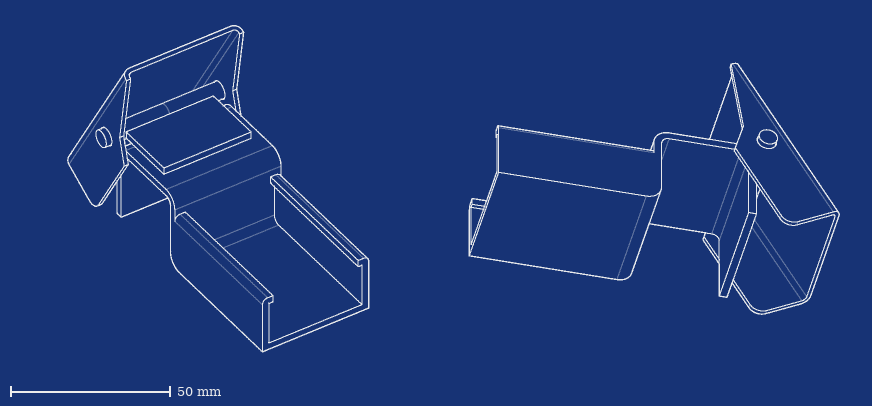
import cadquery as cq
import math


pin_diameter = 6.0
pin_length = 48.0

sheet = 2.5
bend_inside = 2.4
bend_outside = bend_inside + sheet
bracket_width = 40.0
bracket_height = 28.5
bracket_top = -sheet / 2
bracket_bottom = bracket_top - bracket_height
leg_x = 2.9
wall_x = 33.5
bracket_end = 86.2

rail_top = -8.8
lip_reach = 4.0
lip_bend = 2.0

pad_width = 32.8
pad_end = 24.3

cover_tilt = 60
cover_length = 65.0
cover_width = 44.1
cover_depth = 20.0
cover_sheet = 1.5
cover_bend = 3.0
corner_radius = 4.0
tip_depth = 3.5
waist = (40.9, 12.9)
shoulder_along = 33.7
pin_along = 32.9
pin_depth = 8.7
cover_hole_diameter = 6.3


def box(x0, x1, width, z0, z1):
    """Box between two X and two Z limits, centred across Y."""
    return cq.Workplane("XY").box(x1 - x0, width, z1 - z0).translate(((x0 + x1) / 2, 0, (z0 + z1) / 2))


def cross_cylinder(diameter, length):
    """Cylinder on the pin axis, centred across Y."""
    return cq.Workplane("XZ").circle(diameter / 2).extrude(length / 2, both=True)


def make_strip():
    """Leg, top plate, step wall and tray floor as one bent strip."""
    profile = (
        cq.Workplane("XZ")
        .moveTo(leg_x, bracket_bottom)
        .lineTo(leg_x, bracket_top - bend_outside)
        .radiusArc((leg_x + bend_outside, bracket_top), bend_outside)
        .lineTo(wall_x + sheet - bend_outside, bracket_top)
        .radiusArc((wall_x + sheet, bracket_top - bend_outside), bend_outside)
        .lineTo(wall_x + sheet, bracket_bottom + bend_outside)
        .radiusArc((wall_x + bend_outside, bracket_bottom + sheet), -bend_inside)
        .lineTo(bracket_end, bracket_bottom + sheet)
        .lineTo(bracket_end, bracket_bottom)
        .lineTo(wall_x + bend_outside, bracket_bottom)
        .radiusArc((wall_x, bracket_bottom + bend_outside), bend_outside)
        .lineTo(wall_x, bracket_top - bend_outside)
        .radiusArc((wall_x + sheet - bend_outside, bracket_top - sheet), -bend_inside)
        .lineTo(leg_x + bend_outside, bracket_top - sheet)
        .radiusArc((leg_x + sheet, bracket_top - bend_outside), -bend_inside)
        .lineTo(leg_x + sheet, bracket_bottom)
        .close()
    )
    return profile.extrude(bracket_width / 2, both=True)


def make_rail(side):
    """Tray side wall with its inward lip; side is -1 or 1 along Y."""
    outer = side * bracket_width / 2
    rail_bottom = bracket_bottom + sheet
    rail_start = wall_x + sheet
    return (
        cq.Workplane("YZ", origin=(rail_start, 0, 0))
        .moveTo(outer, rail_bottom)
        .lineTo(outer, rail_top - lip_bend)
        .radiusArc((outer - side * lip_bend, rail_top), -side * lip_bend)
        .lineTo(outer - side * lip_reach, rail_top)
        .lineTo(outer - side * lip_reach, rail_top - sheet)
        .lineTo(outer - side * sheet, rail_top - sheet)
        .lineTo(outer - side * sheet, rail_bottom)
        .close()
        .extrude(bracket_end - rail_start)
    )


def make_bracket():
    bracket = make_strip()
    for side in (-1, 1):
        bracket = bracket.union(make_rail(side))
    return bracket


def make_pad():
    """Plate running from the pin, whose surface it meets, out over the bracket."""
    plate = box(0, pad_end, pad_width, -sheet / 2, sheet / 2)
    return plate.cut(cross_cylinder(pin_diameter, pin_length))


def rounded_bar(plane, start, width, radius):
    """Bar up the panel from a start depth, with its two panel-side edges rounded."""
    half = width / 2
    return (
        cq.Workplane(plane)
        .moveTo(cover_depth, -half)
        .lineTo(cover_depth, half)
        .lineTo(start + radius, half)
        .radiusArc((start, half - radius), -radius)
        .lineTo(start, radius - half)
        .radiusArc((start + radius, -half), -radius)
        .close()
        .extrude(cover_length)
    )


def make_cover():
    """U channel drawn along its panel, then placed with its hole on the pin axis."""
    tilt = math.radians(cover_tilt)
    along = cq.Vector(math.cos(tilt), 0, math.sin(tilt))
    inward = cq.Vector(math.sin(tilt), 0, -math.cos(tilt))
    lower_corner = along * -pin_along - inward * pin_depth

    side_plane = cq.Plane(origin=lower_corner, xDir=along, normal=(0, -1, 0))
    outline = (
        cq.Workplane(side_plane)
        .moveTo(0, 0)
        .lineTo(cover_length, 0)
        .lineTo(cover_length, -tip_depth)
        .lineTo(waist[0], -waist[1])
        .lineTo(shoulder_along, -cover_depth)
        .lineTo(corner_radius, -cover_depth)
        .radiusArc((0, corner_radius - cover_depth), corner_radius)
        .close()
        .extrude(cover_width / 2, both=True)
    )

    section_plane = cq.Plane(origin=lower_corner, xDir=inward, normal=along)
    shell = rounded_bar(section_plane, 0, cover_width, cover_bend)
    inner_width = cover_width - 2 * cover_sheet
    cavity = rounded_bar(section_plane, cover_sheet, inner_width, cover_bend - cover_sheet)
    cover = outline.intersect(shell.cut(cavity))
    return cover.cut(cross_cylinder(cover_hole_diameter, cover_width))


pin = cross_cylinder(pin_diameter, pin_length)
bracket = make_bracket()
pad = make_pad()
cover = make_cover()


result = cq.Compound.makeCompound([
    cover.solids().val(),
    bracket.solids().val(),
    pad.solids().val(),
    pin.solids().val(),
])